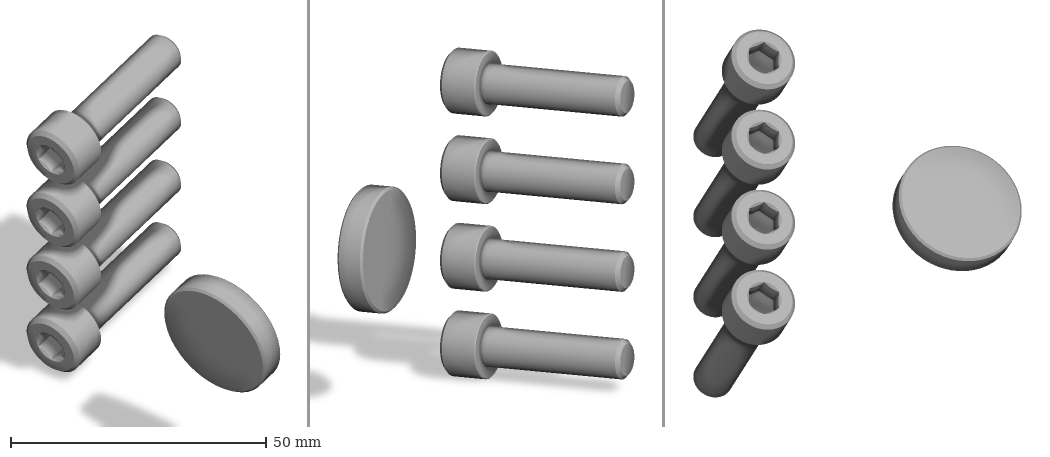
import cadquery as cq
import math

TOTAL_WIDTH = 59.0
TOTAL_DEPTH = 38.0
TOTAL_HEIGHT = 65.5
SCREW_COUNT = 4

HEAD_DIAMETER = 13.0
HEAD_HEIGHT = 8.0
HEAD_FRONT_CHAMFER = 0.8
HEAD_BACK_CHAMFER = 0.2
SHANK_DIAMETER = 8.0
TIP_CHAMFER = 0.8
NECK_LENGTH = 1.0
NECK_FLARE = 0.05

SOCKET_ACROSS_FLATS = 6.0
SOCKET_DEPTH = 4.0
MOUTH_DIAMETER = 7.0
CONE_ANGLE = 120.0

DISC_DIAMETER = 25.0
DISC_THICKNESS = 5.5
DISC_CHAMFER = 0.45

HEAD_RADIUS = HEAD_DIAMETER / 2
SHANK_RADIUS = SHANK_DIAMETER / 2
DISC_RADIUS = DISC_DIAMETER / 2
SOCKET_INRADIUS = SOCKET_ACROSS_FLATS / 2
SOCKET_ACROSS_CORNERS = SOCKET_ACROSS_FLATS / math.cos(math.radians(30))
SCREW_PITCH = (TOTAL_HEIGHT - HEAD_DIAMETER) / (SCREW_COUNT - 1)
DISC_X = TOTAL_WIDTH - HEAD_RADIUS - DISC_RADIUS


def revolve_about_y(points):
    """Revolve a closed (radius, y) outline about the Y axis."""
    return cq.Workplane("XY").polyline(points).close().revolve(360, (0, 0, 0), (0, 1, 0))


def screw_blank():
    """Head, slightly flared neck and shank, without the socket."""
    return revolve_about_y([
        (0, 0),
        (HEAD_RADIUS - HEAD_FRONT_CHAMFER, 0),
        (HEAD_RADIUS, HEAD_FRONT_CHAMFER),
        (HEAD_RADIUS, HEAD_HEIGHT - HEAD_BACK_CHAMFER),
        (HEAD_RADIUS - HEAD_BACK_CHAMFER, HEAD_HEIGHT),
        (SHANK_RADIUS + NECK_FLARE, HEAD_HEIGHT),
        (SHANK_RADIUS, HEAD_HEIGHT + NECK_LENGTH),
        (SHANK_RADIUS, TOTAL_DEPTH - TIP_CHAMFER),
        (SHANK_RADIUS - TIP_CHAMFER, TOTAL_DEPTH),
        (0, TOTAL_DEPTH),
    ])


def socket_cutter():
    """Hexagonal recess with two corners on the Z axis, a mouth chamfer and a drill-point bottom."""
    hexagon = (
        cq.Workplane("XZ")
        .transformed(rotate=(0, 0, 90))
        .polygon(6, SOCKET_ACROSS_CORNERS)
        .extrude(-SOCKET_DEPTH)
    )
    mouth_radius = MOUTH_DIAMETER / 2
    mouth_depth = mouth_radius - SOCKET_INRADIUS
    cone_height = SOCKET_INRADIUS / math.tan(math.radians(CONE_ANGLE / 2))
    mouth_and_cone = revolve_about_y([
        (0, 0),
        (mouth_radius, 0),
        (SOCKET_INRADIUS, mouth_depth),
        (SOCKET_INRADIUS, SOCKET_DEPTH),
        (0, SOCKET_DEPTH + cone_height),
    ])
    return hexagon.union(mouth_and_cone)


def make_screw(z):
    """Cap screw with its axis at X = 0 and height z."""
    return screw_blank().cut(socket_cutter()).translate((0, 0, z))


def make_disc():
    """Plain disc with both rims chamfered, level with the middle of the screw row."""
    disc = cq.Workplane("XZ").circle(DISC_RADIUS).extrude(-DISC_THICKNESS)
    return disc.edges("%CIRCLE").chamfer(DISC_CHAMFER).translate((DISC_X, 0, 0))


screws = []
for index in range(SCREW_COUNT):
    screw_z = (index - (SCREW_COUNT - 1) / 2) * SCREW_PITCH
    screws.append(make_screw(screw_z))

disc = make_disc()

result = cq.Compound.makeCompound([*[screw.val() for screw in screws], disc.val()])